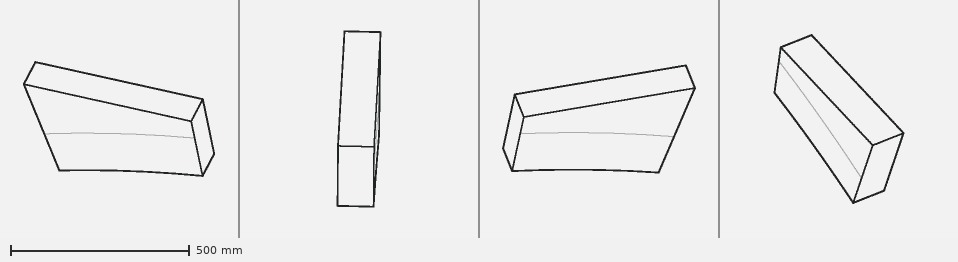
import cadquery as cq
import math

length = 530.62
thickness = 101.6
height = 289.73

left_angle = 20.0
right_angle = 10.0

right_height = 192.6
arc_radius = 3120.0
seam_rise = 138.1

top_left = (0.0, 0.0)
bottom_left = (height * math.tan(math.radians(left_angle)), -height)
bottom_right = (length, -right_height)
top_right = (length - right_height * math.tan(math.radians(right_angle)), 0.0)


def underside_center():
    """Center of the underside arc, below the chord between the bottom corners."""
    run = bottom_right[0] - bottom_left[0]
    rise = bottom_right[1] - bottom_left[1]
    chord = math.hypot(run, rise)
    depth = math.sqrt(arc_radius**2 - (chord / 2) ** 2)
    middle_x = (bottom_left[0] + bottom_right[0]) / 2
    middle_z = (bottom_left[1] + bottom_right[1]) / 2
    return (middle_x + depth * rise / chord, middle_z - depth * run / chord)


def arc_cylinder(center):
    """Cylinder along Y whose wall follows an arc of the part."""
    sketch = cq.Workplane("XZ").center(*center).circle(arc_radius)
    return sketch.extrude(thickness / 2, both=True)


def block():
    """Four-sided block with sloping ends and straight edges."""
    outline = cq.Workplane("XZ").polyline([top_left, bottom_left, bottom_right, top_right])
    return outline.close().extrude(thickness / 2, both=True)


def curved_block():
    """Block with its underside hollowed to the arc."""
    return block().cut(arc_cylinder(underside_center()))


def mark_seam(body):
    """Divide both flat sides along the seam arc, leaving each sloping end as one face."""
    center_x, center_z = underside_center()
    seam_cylinder = arc_cylinder((center_x, center_z + seam_rise))
    lower_sides = body.intersect(seam_cylinder).faces("|Y").vals()
    divided = body.val().split(*lower_sides)
    return cq.Workplane(divided.Solids()[0])


result = mark_seam(curved_block())